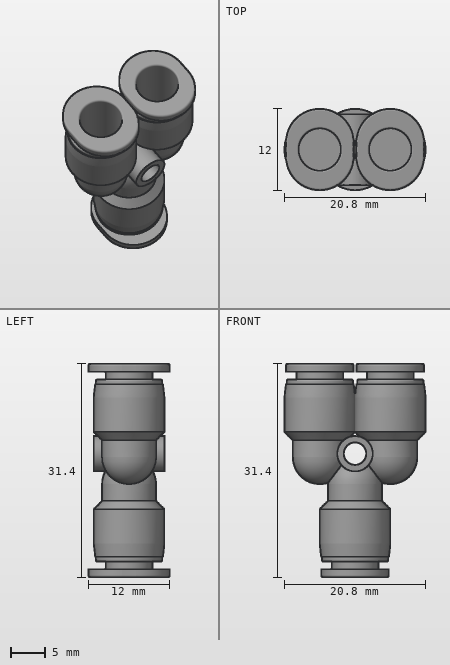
import cadquery as cq
import math

total_height = 31.4
leg_offset = 5.18
elbow_height = 1.98
leg_length = total_height / 2 - elbow_height

neck_radius = 4.0
body_radius = 5.2
neck_length = 2.48
shoulder_length = 1.22
barrel_length = 5.05
taper_length = 1.95
taper_radius = 5.0
taper_bulge = 0.015
cap_radius = 4.9
cap_height = 0.72
cap_fillet = 0.3

sleeve_radius = 3.45
sleeve_root_fillet = 0.1
flange_end_radius = 5.0
flange_length_y = 12.0
flange_thickness = 1.2
flange_fillet = 0.3
bore_radius = 3.1
bore_fillet = 0.28

boss_height = 2.48
boss_radius = 2.6
boss_hole_radius = 1.63
boss_length = 2 * body_radius

shoulder_end = neck_length + shoulder_length
barrel_end = shoulder_end + barrel_length
taper_end = barrel_end + taper_length
cap_end = taper_end + cap_height
flange_start = leg_length - flange_thickness


def leg_body():
    """Revolved leg: spherical elbow, neck, shoulder, barrel, taper, cap and sleeve."""
    elbow_mid = neck_radius * math.sqrt(0.5)
    taper_mid = (body_radius + taper_radius) / 2 + taper_bulge
    cap_mid = cap_fillet * math.sqrt(0.5)
    root_radius = sleeve_radius + sleeve_root_fillet
    root_start = flange_start - sleeve_root_fillet
    root_mid = sleeve_root_fillet * math.sqrt(0.5)
    profile = (
        cq.Workplane("XZ")
        .moveTo(0, -neck_radius)
        .threePointArc((elbow_mid, -elbow_mid), (neck_radius, 0))
        .lineTo(neck_radius, neck_length)
        .lineTo(body_radius, shoulder_end)
        .lineTo(body_radius, barrel_end)
        .threePointArc((taper_mid, barrel_end + taper_length / 2), (taper_radius, taper_end))
        .lineTo(cap_radius, taper_end)
        .lineTo(cap_radius, cap_end - cap_fillet)
        .threePointArc(
            (cap_radius - cap_fillet + cap_mid, cap_end - cap_fillet + cap_mid),
            (cap_radius - cap_fillet, cap_end),
        )
        .lineTo(sleeve_radius, cap_end)
        .lineTo(sleeve_radius, root_start)
        .threePointArc(
            (root_radius - root_mid, root_start + root_mid),
            (root_radius, flange_start),
        )
        .lineTo(0, flange_start)
        .close()
    )
    return profile.revolve(360, (0, 0, 0), (0, 1, 0))


def sleeve_flange():
    """Oblong flange with a rounded outer edge at the open end of the leg."""
    return (
        cq.Workplane("XY")
        .workplane(offset=flange_start)
        .slot2D(flange_length_y, 2 * flange_end_radius, 90)
        .extrude(flange_thickness)
        .faces(">Z")
        .edges()
        .fillet(flange_fillet)
    )


def tube_bore():
    """Blind bore from the open end to the shoulder, with a rounded mouth."""
    mouth_radius = bore_radius + bore_fillet
    mouth_start = leg_length - bore_fillet
    mouth_mid = bore_fillet * math.sqrt(0.5)
    profile = (
        cq.Workplane("XZ")
        .moveTo(0, shoulder_end)
        .lineTo(bore_radius, shoulder_end)
        .lineTo(bore_radius, mouth_start)
        .threePointArc(
            (mouth_radius - mouth_mid, mouth_start + mouth_mid),
            (mouth_radius, leg_length),
        )
        .lineTo(0, leg_length)
        .close()
    )
    return profile.revolve(360, (0, 0, 0), (0, 1, 0))


def boss_cylinder(radius):
    """Cylinder along Y on the boss axis, centred on the part."""
    return (
        cq.Workplane("XZ")
        .center(0, boss_height)
        .circle(radius)
        .extrude(boss_length / 2, both=True)
    )


def place_legs(shape):
    """Copies of a leg feature at the two upper legs and the lower leg."""
    upper = [shape.translate((side * leg_offset, 0, elbow_height)) for side in (-1, 1)]
    lower = shape.mirror("XY").translate((0, 0, -elbow_height))
    return upper + [lower]


result = boss_cylinder(boss_radius)
for leg in place_legs(leg_body().union(sleeve_flange())):
    result = result.union(leg)
for bore in place_legs(tube_bore()):
    result = result.cut(bore)
result = result.cut(boss_cylinder(boss_hole_radius))